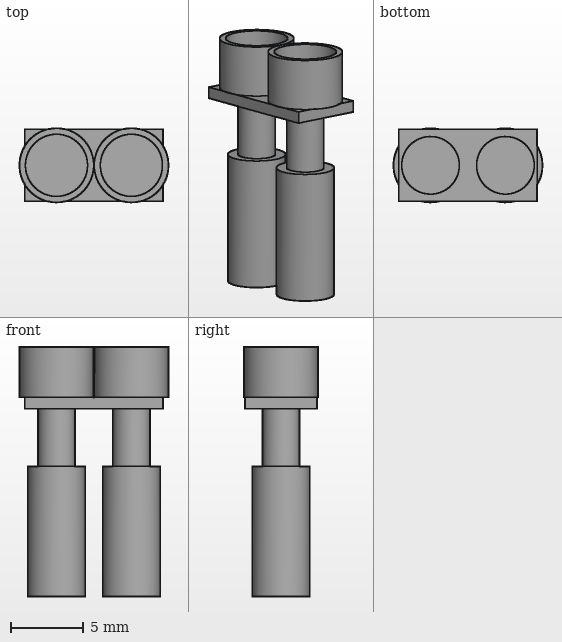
import cadquery as cq

pitch = 5.19
total_height = 17.3
barrel_diameter = 4.0
barrel_height = 9.03
neck_diameter = 2.6
neck_height = 3.98
plate_length = 9.6
plate_width = 5.0
plate_thickness = 0.8
cup_diameter = 5.15
bore_diameter = 4.3
bore_depth = 1.21

plate_bottom = barrel_height + neck_height
plate_top = plate_bottom + plate_thickness
cup_height = total_height - plate_top


def cylinder(x, bottom, diameter, height):
    """Upright cylinder centred on the pin axis at x."""
    return cq.Workplane("XY").center(x, 0).circle(diameter / 2).extrude(height).translate((0, 0, bottom))


def pin(x):
    """Barrel, narrow neck and recessed cup on one axis."""
    barrel = cylinder(x, 0, barrel_diameter, barrel_height)
    neck = cylinder(x, barrel_height, neck_diameter, neck_height)
    cup = cylinder(x, plate_top, cup_diameter, cup_height)
    bore = cylinder(x, total_height - bore_depth, bore_diameter, bore_depth)
    return barrel, neck, cup.cut(bore)


result = (
    cq.Workplane("XY")
    .box(plate_length, plate_width, plate_thickness, centered=(True, True, False))
    .translate((0, 0, plate_bottom))
)

for pin_x in (-pitch / 2, pitch / 2):
    barrel, neck, cup = pin(pin_x)
    result = result.union(neck).union(barrel).union(cup)